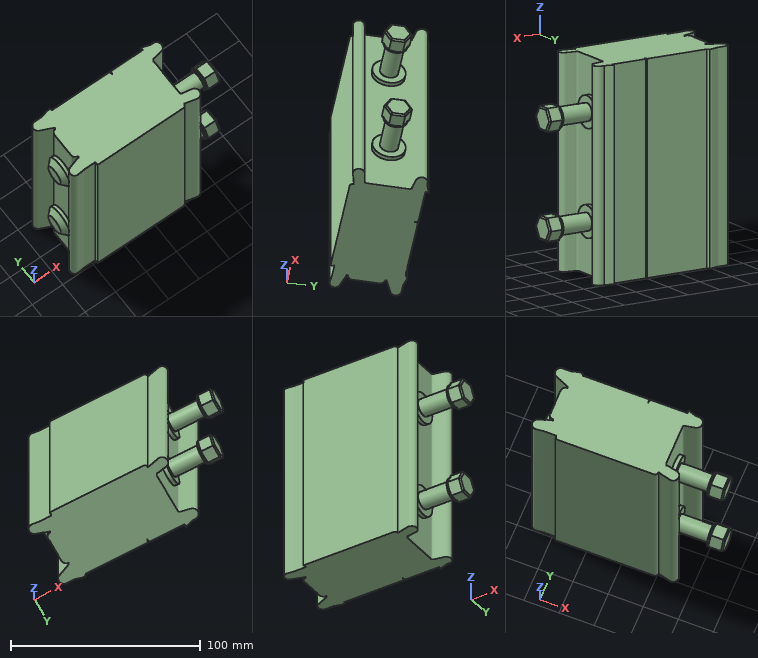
import cadquery as cq
import math

body_height = 120.0
back_y = 40.3
peak_y = 42.0
left_wall_x = 6.8
right_wall_x = 74.8
right_tip_x = 84.0
notch_x = 9.5
ledge_y = 2.0
step_x = 14.8

groove_x = 52.5
groove_width = 1.0
groove_depth = 1.8

bolt_y = 20.2
bolt_heights = (body_height / 4, body_height * 3 / 4)
flange_radius = 18.0 / 2
shaft_radius = 10.0 / 2
tip_radius = 5.6
button_start_x = 1.3
cone_end_x = 4.7
flange_end_x = 77.2
collar_start_x = 95.6
collar_radius = 6.5
collar_bevel = 0.4
head_start_x = 97.0
head_end_x = 105.0
head_across_flats = 13.0
head_chamfer = 0.8


def make_body():
    """Extruded section with two lips on each side."""
    section = (
        cq.Workplane("XY")
        .moveTo(step_x, 0)
        .lineTo(70.9, 0)
        .threePointArc((72.5, 0.6), (73.0, 1.9))
        .lineTo(80.2, 0.1)
        .threePointArc((right_tip_x, 3.1), (81.8, 6.2))
        .lineTo(76.2, 7.3)
        .threePointArc((75.1, 7.7), (right_wall_x, 8.5))
        .lineTo(right_wall_x, 31.7)
        .threePointArc((75.1, 32.4), (76.2, 32.8))
        .lineTo(81.6, 33.8)
        .threePointArc((right_tip_x, 37.0), (80.9, back_y))
        .lineTo(79.1, back_y)
        .lineTo(74.0, peak_y)
        .lineTo(74.0, back_y)
        .lineTo(groove_x + groove_width / 2, back_y)
        .lineTo(groove_x, back_y - groove_depth)
        .lineTo(groove_x - groove_width / 2, back_y)
        .lineTo(step_x, back_y)
        .lineTo(13.8, 41.5)
        .lineTo(12.1, 41.5)
        .lineTo(7.8, back_y)
        .lineTo(3.0, back_y)
        .threePointArc((0, 37.2), (1.5, 34.7))
        .lineTo(notch_x, 31.1)
        .lineTo(notch_x, 30.5)
        .threePointArc((7.7, 29.5), (left_wall_x, 27.6))
        .lineTo(left_wall_x, 12.5)
        .threePointArc((7.7, 11.0), (notch_x, 10.3))
        .lineTo(notch_x, 9.7)
        .lineTo(2.3, 7.5)
        .threePointArc((0, 4.3), (3.1, 1.5))
        .lineTo(7.5, ledge_y)
        .lineTo(step_x, ledge_y)
        .close()
    )
    return section.extrude(body_height)


def make_bolt(z):
    """Bolt along X: conical button, flange, shaft, collar and hexagonal head."""
    turned = (
        cq.Workplane("XY", origin=(0, bolt_y, z))
        .moveTo(button_start_x, 0)
        .lineTo(button_start_x, tip_radius)
        .lineTo(cone_end_x, flange_radius)
        .lineTo(flange_end_x, flange_radius)
        .lineTo(flange_end_x, shaft_radius)
        .lineTo(collar_start_x, shaft_radius)
        .lineTo(collar_start_x, collar_radius - collar_bevel)
        .lineTo(collar_start_x + collar_bevel, collar_radius)
        .lineTo(head_start_x, collar_radius)
        .lineTo(head_start_x, 0)
        .close()
        .revolve(360, (0, 0, 0), (1, 0, 0))
    )
    head_length = head_end_x - head_start_x
    across_corners = head_across_flats / math.cos(math.pi / 6)
    head = (
        cq.Workplane("YZ", origin=(head_start_x, bolt_y, z))
        .polygon(6, across_corners)
        .extrude(head_length)
        .faces(">X")
        .chamfer(head_chamfer)
    )
    return turned.union(head)


result = make_body()
for bolt_z in bolt_heights:
    result = result.union(make_bolt(bolt_z))